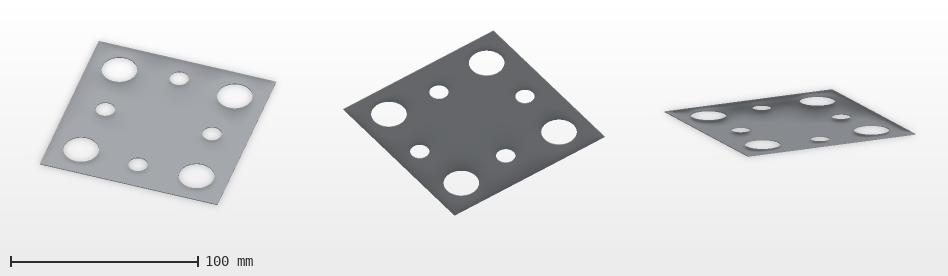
import cadquery as cq

side = 100.0
thickness = 0.5

large_diameter = 19.1
large_spacing = 65.0

small_diameter = 10.4
small_spacing_x = 60.0
small_spacing_y = 70.0
small_pattern_y = 1.1

sheet = cq.Workplane("XY").rect(side, side).extrude(thickness)


def drill(body, centres, diameter):
    """Cut through holes of one diameter at the given XY centres."""
    cutters = cq.Workplane("XY").pushPoints(centres).circle(diameter / 2).extrude(thickness)
    return body.cut(cutters)


large_offset = large_spacing / 2
large_centres = [
    (x_sign * large_offset, y_sign * large_offset)
    for x_sign in (-1, 1)
    for y_sign in (-1, 1)
]

small_centres = []
for sign in (-1, 1):
    small_centres.append((sign * small_spacing_x / 2, small_pattern_y))
    small_centres.append((0, small_pattern_y + sign * small_spacing_y / 2))

result = drill(sheet, large_centres, large_diameter)
result = drill(result, small_centres, small_diameter)